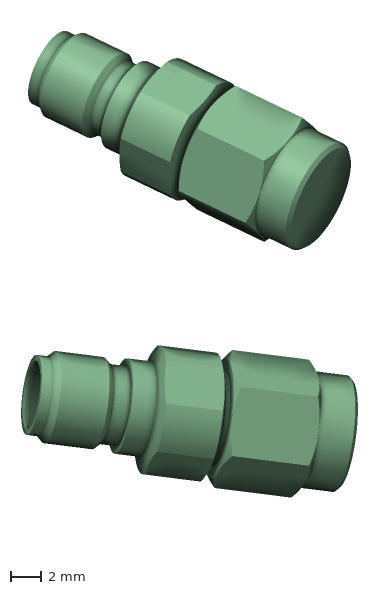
import cadquery as cq
import math

total_length = 21.45
across_flats = 8.0

tip_radius = 2.68
thread_radius = 3.09
tip_length = 0.8
thread_end = 5.0
thread_chamfer_length = 0.45
bore_diameter = 4.61
bore_depth = 1.93

collar_start = 6.11
collar_radius = 3.2

body_start = 7.79
body_end = 12.5
body_radius = 4.31
body_cone_length = 0.4

nut_start = 12.83
nut_end = 18.81
nut_chamfer_angle = 30.0
sleeve_radius = 3.9
sleeve_chamfer = 0.25


def turned(profile):
    """Revolve a list of (x, radius) points, closed along the X axis, about X."""
    start_x = profile[0][0]
    end_x = profile[-1][0]
    outline = [(start_x, 0), *profile, (end_x, 0)]
    return cq.Workplane("XY").polyline(outline).close().revolve(360, (0, 0, 0), (1, 0, 0))


def cone_ended(start, end, face_radius, full_radius, cone_length):
    """Cylinder from start to end, with a cone on each end narrowing to face_radius."""
    return turned([
        (start, face_radius),
        (start + cone_length, full_radius),
        (end - cone_length, full_radius),
        (end, face_radius),
    ])


def threaded_end():
    """Thread envelope with a plain tip, a relief groove and the collar."""
    return turned([
        (0, tip_radius),
        (tip_length, tip_radius),
        (tip_length + thread_chamfer_length, thread_radius),
        (thread_end - thread_chamfer_length, thread_radius),
        (thread_end, tip_radius),
        (collar_start, tip_radius),
        (collar_start, collar_radius),
        (nut_start, collar_radius),
    ])


def wrench_body():
    """Cone-ended round body cut by flats facing +Y, -Y, +Z and -Z."""
    round_body = cone_ended(body_start, body_end, collar_radius, body_radius, body_cone_length)
    square_bar = cq.Workplane("YZ").rect(across_flats, across_flats).extrude(total_length)
    return round_body.intersect(square_bar)


def hex_nut():
    """Hexagon with corners on +Y and -Y, its end corners turned to a cone."""
    flat_radius = across_flats / 2
    corner_radius = flat_radius / math.cos(math.radians(30))
    cone_length = (corner_radius - flat_radius) * math.tan(math.radians(nut_chamfer_angle))
    hexagon = (
        cq.Workplane("YZ", origin=(nut_start, 0, 0))
        .polygon(6, 2 * corner_radius)
        .extrude(nut_end - nut_start)
    )
    return hexagon.intersect(cone_ended(nut_start, nut_end, flat_radius, corner_radius, cone_length))


def sleeve():
    """Round end of the nut with a chamfered rim."""
    return turned([
        (nut_end, sleeve_radius),
        (total_length - sleeve_chamfer, sleeve_radius),
        (total_length, sleeve_radius - sleeve_chamfer),
    ])


bore = cq.Workplane("YZ").circle(bore_diameter / 2).extrude(bore_depth)

result = threaded_end().union(wrench_body()).union(hex_nut()).union(sleeve()).cut(bore)